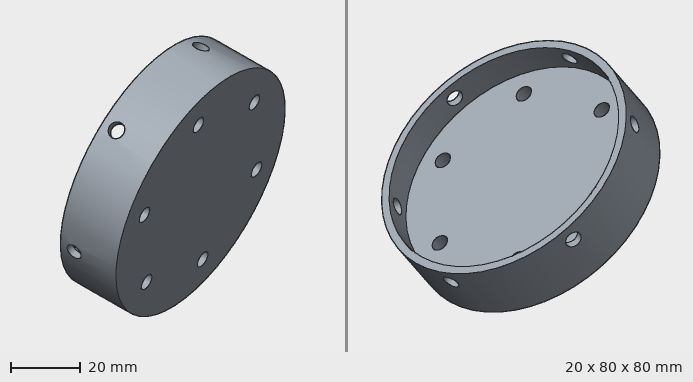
import cadquery as cq
import math

outer_diameter = 80
width = 20
wall = 2.5
pocket_depth = 10.0
hole_diameter = 5.0
hole_count = 6
rim_hole_offset = 5.0
floor_hole_radius = 30.0
floor_hole_turn = 1.9

outer_radius = outer_diameter / 2
inner_radius = outer_radius - wall
open_face = -width / 2
hole_radius = hole_diameter / 2
hole_step = 360 / hole_count
x_axis = cq.Vector(1, 0, 0)


def cylinder_along_x(radius, length, y=0, z=0):
    """Cylinder that starts at the open face and runs towards +X."""
    return cq.Solid.makeCylinder(radius, length, cq.Vector(open_face, y, z), x_axis)


def floor_hole(angle):
    """Axial hole at an angle measured from +Z towards -Y."""
    y = -floor_hole_radius * math.sin(angle)
    z = floor_hole_radius * math.cos(angle)
    return cylinder_along_x(hole_radius, width, y, z)


def rim_hole(angle):
    """Radial hole through the rim at an angle measured from +Y towards +Z."""
    centre = cq.Vector(open_face + rim_hole_offset, 0, 0)
    direction = cq.Vector(0, math.cos(angle), math.sin(angle))
    return cq.Solid.makeCylinder(hole_radius, outer_diameter, centre, direction)


body = cq.Workplane(obj=cylinder_along_x(outer_radius, width))
body = body.cut(cq.Workplane(obj=cylinder_along_x(inner_radius, pocket_depth)))

for index in range(hole_count):
    rim_angle = math.radians(index * hole_step)
    floor_angle = math.radians(index * hole_step + floor_hole_turn)
    body = body.cut(cq.Workplane(obj=rim_hole(rim_angle)))
    body = body.cut(cq.Workplane(obj=floor_hole(floor_angle)))

result = body